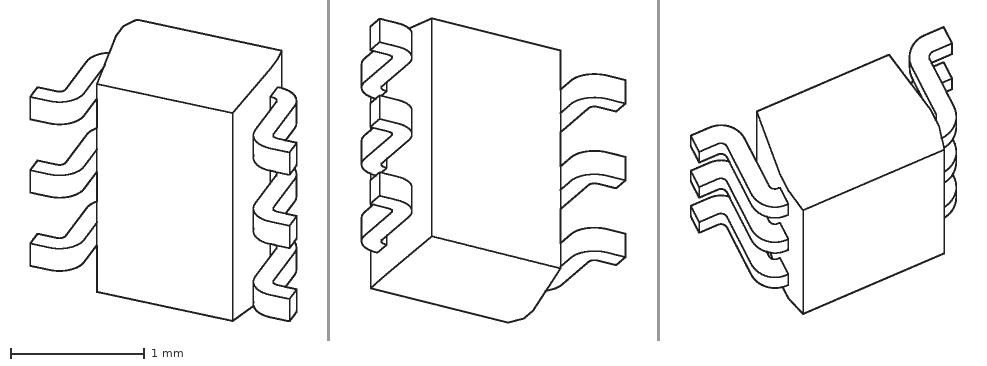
import cadquery as cq
import math


SPAN_X = 2.1
TOTAL_HEIGHT = 1.0
HOUSING_LENGTH = 2.0
HOUSING_WIDTH = 1.25

STANDOFF = 0.1
TOP_DEPTH = 0.178
TOP_INSET = 0.038
BOTTOM_INSET = 0.075

LEAD_THICKNESS = 0.15
LEAD_WIDTH = 0.2
LEAD_PITCH = 0.65
LEADS_PER_SIDE = 3
FOOT_LENGTH = 0.158
INNER_BEND = 0.05
OUTER_BEND = INNER_BEND + LEAD_THICKNESS

BAND_TOP = TOTAL_HEIGHT - TOP_DEPTH
BAND_BOTTOM = BAND_TOP - LEAD_THICKNESS


def tapered_block(start_y, height, inset, direction):
    """Block on the full housing outline at start_y, leaning in by inset over its height."""
    plane = cq.Plane(origin=(0, start_y, 0), xDir=(1, 0, 0), normal=(0, direction, 0))
    taper = math.degrees(math.atan2(inset, height))
    return cq.Workplane(plane).rect(HOUSING_WIDTH, HOUSING_LENGTH).extrude(height, taper=taper)


def make_housing():
    """Straight band with a shallow taper above it and a deep taper below it."""
    band = tapered_block(BAND_BOTTOM, LEAD_THICKNESS, 0, 1)
    top = tapered_block(BAND_TOP, TOP_DEPTH, TOP_INSET, 1)
    bottom = tapered_block(BAND_BOTTOM, BAND_BOTTOM - STANDOFF, BOTTOM_INSET, -1)
    return band.union(top).union(bottom)


def make_lead(side, z):
    """Gull-wing lead centred at height z, on the +X (side = 1) or -X (side = -1) side."""
    tip = SPAN_X / 2
    foot_end = tip - FOOT_LENGTH
    outer_face = foot_end - INNER_BEND
    inner_face = outer_face - LEAD_THICKNESS
    shoulder = outer_face - OUTER_BEND
    root = HOUSING_WIDTH / 2

    def at(x, y):
        return (side * x, y)

    outline = (
        cq.Workplane("XY", origin=(0, 0, z - LEAD_WIDTH / 2))
        .moveTo(*at(tip, 0))
        .lineTo(*at(foot_end, 0))
        .tangentArcPoint(at(inner_face, OUTER_BEND), relative=False)
        .lineTo(*at(inner_face, BAND_BOTTOM - INNER_BEND))
        .tangentArcPoint(at(shoulder, BAND_BOTTOM), relative=False)
        .lineTo(*at(root, BAND_BOTTOM))
        .lineTo(*at(root, BAND_TOP))
        .lineTo(*at(shoulder, BAND_TOP))
        .tangentArcPoint(at(outer_face, BAND_TOP - OUTER_BEND), relative=False)
        .lineTo(*at(outer_face, LEAD_THICKNESS + INNER_BEND))
        .tangentArcPoint(at(foot_end, LEAD_THICKNESS), relative=False)
        .lineTo(*at(tip, LEAD_THICKNESS))
        .close()
    )
    return outline.extrude(LEAD_WIDTH)


housing = make_housing()

leads = []
for side in (-1, 1):
    for index in range(LEADS_PER_SIDE):
        z = (index - (LEADS_PER_SIDE - 1) / 2) * LEAD_PITCH
        leads.append(make_lead(side, z).val())

result = cq.Compound.makeCompound([housing.val(), *leads])